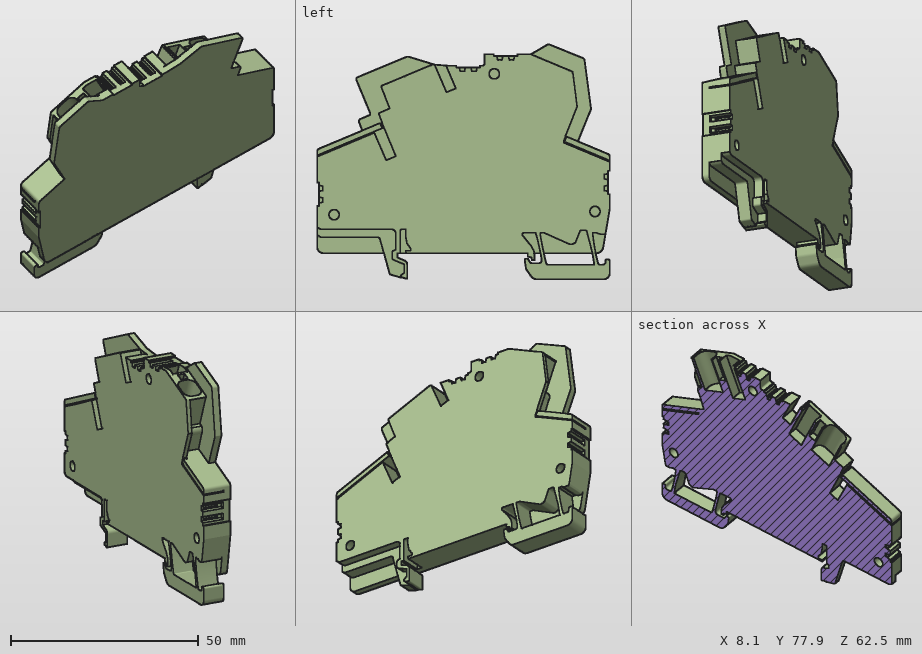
import cadquery as cq
import math

LENGTH = 77.9
HEIGHT = 62.5
WIDTH = 8.1
HOUSING_DEPTH = 6.1
TILT = math.radians(22.7)
OVERLAP = 0.4

PLATE_BOTTOM = 6.9
SHELF_HEIGHT_LEFT = 34.6
SHELF_HEIGHT_RIGHT = 33.2
SHELF_ROUND = 0.9
TAPER_TOP = 18.85
TAPER_RATIO = 0.17

LOW_TOP = 56.85
HIGH_TOP = 59.9
TOP_STEP_Y = 33.4

LEFT_DECK_TOP = (47.2, 57.2)
RIGHT_DECK_TOP = (21.0, HIGH_TOP)
LEFT_DECK_END_Y = 60.9
RIGHT_DECK_END_Y = 9.9
DECK_ROUND = 0.4
LEFT_HOLE_Y = 57.55
RIGHT_HOLE_Y = 13.7
WIRE_HOLE_X = 3.1
WIRE_HOLE_SIZE = (5.4, 6.5)
WIRE_HOLE_ROUND = 2.1
WIRE_HOLE_DEPTH = 10.1
SQUARE_X = 3.4
TEST_SQUARE = 2.0
TEST_SQUARE_OFFSET = 4.7
TEST_SQUARE_DEPTH = 6.2
LEVER_SQUARE = 4.4
LEVER_SQUARE_OFFSET = 8.6
LEVER_SQUARE_DEPTH = 11.7

SEAT_LENGTH = 6.2
SEAT_DEPTH = 0.5
GROOVE_PITCH = 3.1
GROOVE_TOP = 1.6
GROOVE_FLOOR = 1.2
GROOVE_DEPTH = 1.0
SLIT_WIDTH = 0.85
SLIT_DEPTH = 0.8
SLIT_START = 0.7
SLIT_END = 4.9

PIN_HOLE_DIAMETER = 2.7
PIN_HOLES = [(73.4, 17.2), (30.8, 54.7), (4.0, 18.1)]
KERF_WIDTH = 0.3
KERF_DROP = 1.5
LEFT_KERF_END_Y = 60.1
RIGHT_KERF_END_Y = 12.3
LEFT_GAP_WIDTH = 0.5
RIGHT_GAP_WIDTH = 0.2
COVER_THICKNESS = 1.2
ARM_START = 2.5


def outline_wire(corners):
    """Closed YZ outline; a corner given as (y, z, radius) is rounded by a tangent arc."""
    stretches = []
    for i, corner in enumerate(corners):
        point = cq.Vector(*corner[:2])
        if len(corner) == 2:
            stretches.append([point])
            continue
        to_previous = (cq.Vector(*corners[i - 1][:2]) - point).normalized()
        to_next = (cq.Vector(*corners[(i + 1) % len(corners)][:2]) - point).normalized()
        half_angle = to_previous.getAngle(to_next) / 2
        radius = corner[2]
        reach = radius / math.tan(half_angle)
        bisector = (to_previous + to_next).normalized()
        middle = point + bisector * (radius / math.sin(half_angle) - radius)
        stretches.append([point + to_previous * reach, middle, point + to_next * reach])

    wire = cq.Workplane("YZ").moveTo(*stretches[0][-1].toTuple()[:2])
    for stretch in stretches[1:] + stretches[:1]:
        wire = wire.lineTo(*stretch[0].toTuple()[:2])
        if len(stretch) == 3:
            wire = wire.threePointArc(stretch[1].toTuple()[:2], stretch[2].toTuple()[:2])
    return wire.close()


def slab(corners, start, end):
    """Solid with a YZ outline between two X positions."""
    return outline_wire(corners).extrude(end - start).translate((start, 0, 0))


def on_slope(point, y, side):
    """Point at y on the tilted line through point; side is +1 where the line falls toward +Y."""
    return (y, point[1] - side * (y - point[0]) * math.tan(TILT))


def on_taper(z):
    """Point at height z on the tapered lower end of the module."""
    return ((TAPER_TOP - z) * TAPER_RATIO, z)


LEFT_SHELF_END = (LENGTH, SHELF_HEIGHT_LEFT)
RIGHT_SHELF_END = (0.0, SHELF_HEIGHT_RIGHT)
TOP_EDGE = [
    (TOP_STEP_Y, LOW_TOP, 0.5),
    (TOP_STEP_Y, HIGH_TOP),
    (*RIGHT_DECK_TOP, 1.55),
]


def make_back_plate():
    corners = [
        (*LEFT_SHELF_END, SHELF_ROUND),
        on_slope(LEFT_SHELF_END, 65.9, 1),
        (67.0, 42.45, 0.8),
        (63.6, 43.85, 0.4),
        (67.7, 53.6, 0.6),
        (53.8, 59.35, 1.25),
        (46.7, 57.2),
        (42.8, LOW_TOP),
        *TOP_EDGE,
        (16.35, HEIGHT + 0.1, 0.8),
        (6.8, 58.7, 0.8),
        (5.0, 45.3, 0.4),
        on_slope(RIGHT_SHELF_END, 8.5, -1),
        (*RIGHT_SHELF_END, SHELF_ROUND),
        on_taper(TAPER_TOP),
        (*on_taper(PLATE_BOTTOM), 1.95),
        (LENGTH, PLATE_BOTTOM, 1.7),
    ]
    return slab(corners, HOUSING_DEPTH, WIDTH)


def make_housing():
    shelves_and_decks = [
        (*LEFT_SHELF_END, SHELF_ROUND),
        on_slope(LEFT_SHELF_END, 60.6, 1),
        (61.5, 44.15),
        (58.6, 45.5),
        (*on_slope(LEFT_DECK_TOP, LEFT_DECK_END_Y, 1), DECK_ROUND),
        LEFT_DECK_TOP,
        (42.8, LOW_TOP),
        *TOP_EDGE,
        (*on_slope(RIGHT_DECK_TOP, RIGHT_DECK_END_Y, -1), DECK_ROUND),
        (8.7, 45.95),
        on_slope(RIGHT_SHELF_END, 11.8, -1),
        (*RIGHT_SHELF_END, SHELF_ROUND),
        on_taper(TAPER_TOP),
    ]
    right_underside = [
        on_taper(12.5),
        (1.3, 12.0, 0.2),
        (2.5, 12.0, 0.8),
        (3.5, 12.4),
        (19.8, 12.4),
        (23.3, 12.4, 0.4),
        (23.3, 11.75),
        (21.0, 9.0),
        (20.25, 7.6),
        (20.0, 6.6),
        (20.0, 5.15),
        (20.8, 5.15),
        (20.8, 5.8),
        (21.9, 6.1),
        (21.9, PLATE_BOTTOM),
    ]
    spring_slot = [
        (53.2, PLATE_BOTTOM),
        (54.2, PLATE_BOTTOM),
        (54.35, 7.6),
        (52.95, 7.6, 0.2),
        (52.95, 8.2),
        (54.0, 9.6),
        (54.35, 11.7),
        (54.35, 13.3),
        (55.8, 13.3, 0.4),
        (55.8, PLATE_BOTTOM),
    ]
    hook = [
        (56.5, PLATE_BOTTOM),
        (56.5, 5.85),
        (53.9, 4.75, 1.2),
        (53.9, 0.1, 0.2),
        (55.6, 0.6, 0.2),
        (55.6, 1.1),
        (54.75, 1.7),
        (54.75, 4.05),
        (57.95, 5.4, 0.6),
        (57.95, 7.5, 0.6),
        (56.9, 7.95),
    ]
    left_underside = [
        (56.9, 13.3, 1.2),
        (76.95, 13.3, 1.2),
        (LENGTH, 13.95),
    ]
    corners = shelves_and_decks + right_underside + spring_slot + hook + left_underside
    return slab(corners, 0, HOUSING_DEPTH)


def make_release_arm():
    corners = [
        (LENGTH, 13.95),
        (76.95, 13.3, 1.2),
        (56.9, 13.3, 1.2),
        (56.9, 7.95),
        (57.95, 7.5, 0.6),
        (57.95, 5.4, 0.6),
        (54.75, 4.05),
        (54.75, 1.7),
        (55.6, 1.1),
        (55.6, 0.5),
        (58.6, 1.3, 0.6),
        (61.3, 11.2, 0.8),
        (76.95, 11.2, 1.2),
        (LENGTH, 11.8),
    ]
    return slab(corners, ARM_START, HOUSING_DEPTH)


def make_rail_foot():
    corners = [
        (19.8, 12.4),
        (19.4, 11.2, 15.6),
        (18.45, 7.0, 38.95),
        (18.1, 4.4, 0.7),
        (21.1, 4.4, 0.4),
        (21.8, 5.5, 0.3),
        (22.75, 5.5, 0.4),
        (22.35, 2.8, 1.55),
        (20.4, 0.0, 1.95),
        (0.0, 0.0, 1.7),
        (0.0, 5.4, 0.55),
        (1.2, 5.4, 0.4),
        (1.25, 4.0, 0.6),
        (3.0, 4.0, 0.4),
        (4.2, 8.6, 42.8),
        (4.6, 12.4),
    ]
    return slab(corners, 0, HOUSING_DEPTH)


def make_foot_window():
    corners = [
        (18.6, 12.4, 0.3),
        (17.45, 12.4, 0.8),
        (10.35, 9.2, 1.25),
        (9.2, 9.7, 0.8),
        (7.9, 13.1, 0.5),
        (6.2, 13.1, 0.5),
        (4.75, 7.4),
        (4.2, 4.0),
        (16.8, 4.0, 0.3),
        (17.75, 7.6, 77.9),
    ]
    return slab(corners, 0, HOUSING_DEPTH)


def make_deck_openings(deck_top, hole_y, side):
    """Wire hole, test hole and lever hole, all square to one deck."""
    _, hole_z = on_slope(deck_top, hole_y, side)
    normal = (0, side * math.sin(TILT), math.cos(TILT))

    def opening(x, uphill, size, depth):
        plane = cq.Plane(origin=(x, hole_y, hole_z), xDir=(1, 0, 0), normal=normal)
        deck = cq.Workplane(plane).workplane(offset=OVERLAP * 2)
        return deck.center(0, -side * uphill).rect(*size).extrude(-depth - OVERLAP * 2)

    wire_hole = opening(WIRE_HOLE_X, 0, WIRE_HOLE_SIZE, WIRE_HOLE_DEPTH)
    long_edges = cq.selectors.ParallelDirSelector(cq.Vector(*normal))
    wire_hole = wire_hole.edges(long_edges).fillet(WIRE_HOLE_ROUND)
    test_hole = opening(SQUARE_X, TEST_SQUARE_OFFSET, (TEST_SQUARE,) * 2, TEST_SQUARE_DEPTH)
    lever_hole = opening(SQUARE_X, LEVER_SQUARE_OFFSET, (LEVER_SQUARE,) * 2, LEVER_SQUARE_DEPTH)
    return wire_hole.union(test_hole).union(lever_hole)


def make_marker_seat(y, z, turn):
    """Shallow seat with two tapered grooves, facing +Z and then turned about X by turn degrees."""
    seat = slab(
        [(-SEAT_LENGTH / 2, -SEAT_DEPTH), (SEAT_LENGTH / 2, -SEAT_DEPTH),
         (SEAT_LENGTH / 2, OVERLAP), (-SEAT_LENGTH / 2, OVERLAP)],
        0, WIDTH,
    )
    floor = -SEAT_DEPTH - GROOVE_DEPTH
    for middle in (-GROOVE_PITCH / 2, GROOVE_PITCH / 2):
        groove = slab(
            [(middle - GROOVE_FLOOR / 2, floor), (middle + GROOVE_FLOOR / 2, floor),
             (middle + GROOVE_TOP / 2, -SEAT_DEPTH), (middle - GROOVE_TOP / 2, -SEAT_DEPTH)],
            0, HOUSING_DEPTH,
        )
        slit = slab(
            [(middle - SLIT_WIDTH / 2, floor - SLIT_DEPTH), (middle + SLIT_WIDTH / 2, floor - SLIT_DEPTH),
             (middle + SLIT_WIDTH / 2, floor), (middle - SLIT_WIDTH / 2, floor)],
            SLIT_START, SLIT_END,
        )
        seat = seat.union(groove).union(slit)
    return seat.rotate((0, 0, 0), (1, 0, 0), turn).translate((0, y, z))


def make_kerf(shelf_end, outer_y, inner_y, side):
    """Thin saw cut running parallel to and below a shelf."""
    drop = KERF_DROP / math.cos(TILT)
    thickness = KERF_WIDTH / math.cos(TILT)
    top = (shelf_end[0], shelf_end[1] - drop)
    bottom = (top[0], top[1] - thickness)
    corners = [on_slope(top, outer_y, side), on_slope(top, inner_y, side),
               on_slope(bottom, inner_y, side), on_slope(bottom, outer_y, side)]
    return slab(corners, 0, HOUSING_DEPTH)


def make_shelf_end_gap(shelf_end, inner_y, side, width, depth):
    """Gap square to a shelf that parts its inner end from the wall above, down to the kerf."""
    top = (shelf_end[0], shelf_end[1] - KERF_DROP / math.cos(TILT))
    inner = cq.Vector(*on_slope(top, inner_y, side))
    up = cq.Vector(side * math.sin(TILT), math.cos(TILT)) * (KERF_DROP + OVERLAP)
    outward = cq.Vector(side * math.cos(TILT), -math.sin(TILT)) * width
    corners = [inner, inner + outward, inner + outward + up, inner + up]
    return slab([(corner.x, corner.y) for corner in corners], 0, depth)


def make_tilted_slots():
    upper = [(46.7, 57.3), (43.45, 49.8), (41.0, 50.8), (43.8, 57.3)]
    lower = [(62.8, 39.25), (59.5, 31.7), (56.9, 32.8), (60.05, 40.3)]
    return slab(upper, 0, HOUSING_DEPTH).union(slab(lower, 0, HOUSING_DEPTH))


def make_end_recess():
    """Hollow behind the right side wall, with a rounded rib across its back."""
    shelf_inner = on_slope(RIGHT_SHELF_END, 14.1, -1)
    shelf_outer = on_slope(RIGHT_SHELF_END, 7.8, -1)
    hollow = cq.Workplane("YZ").moveTo(10.05, 54.9).lineTo(13.4, 46.4).lineTo(12.4, 46.0)
    hollow = hollow.threePointArc((12.0, 44.9), (12.4, 43.9)).lineTo(*shelf_inner)
    hollow = hollow.lineTo(*shelf_outer).lineTo(7.8, 54.9).close()
    return hollow.extrude(HOUSING_DEPTH - COVER_THICKNESS).translate((COVER_THICKNESS, 0, 0))


housing = make_housing().union(make_release_arm()).union(make_rail_foot())
housing = housing.cut(make_foot_window())
housing = housing.cut(make_tilted_slots())
housing = housing.cut(make_end_recess())
housing = housing.cut(make_kerf(LEFT_SHELF_END, LENGTH, LEFT_KERF_END_Y, 1))
housing = housing.cut(make_kerf(RIGHT_SHELF_END, 0.0, RIGHT_KERF_END_Y, -1))
housing = housing.cut(
    make_shelf_end_gap(LEFT_SHELF_END, LEFT_KERF_END_Y, 1, LEFT_GAP_WIDTH, HOUSING_DEPTH)
)
housing = housing.cut(
    make_shelf_end_gap(RIGHT_SHELF_END, RIGHT_KERF_END_Y, -1, RIGHT_GAP_WIDTH, COVER_THICKNESS)
)
housing = housing.cut(make_deck_openings(LEFT_DECK_TOP, LEFT_HOLE_Y, 1))
housing = housing.cut(make_deck_openings(RIGHT_DECK_TOP, RIGHT_HOLE_Y, -1))
pin_holes = cq.Workplane("YZ").pushPoints(PIN_HOLES).circle(PIN_HOLE_DIAMETER / 2).extrude(HOUSING_DEPTH)
housing = housing.cut(pin_holes)

result = housing.union(make_back_plate())
for seat_y, seat_z, seat_turn in [
    (37.7, LOW_TOP, 0),
    (27.7, HIGH_TOP, 0),
    (LENGTH, 22.7, -90),
    (0.0, 25.8, 90),
]:
    result = result.cut(make_marker_seat(seat_y, seat_z, seat_turn))